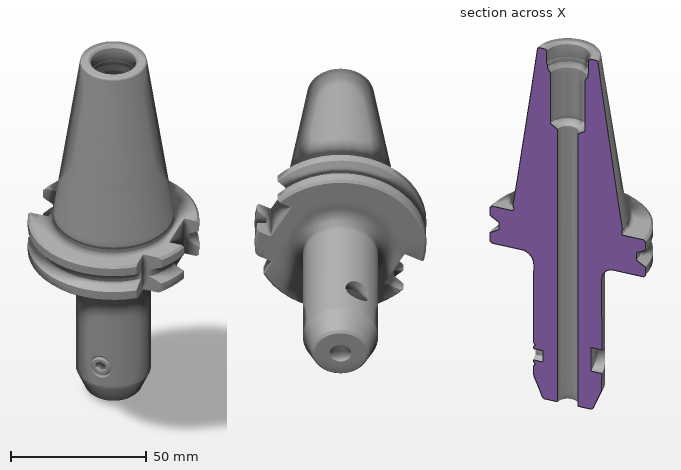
import cadquery as cq
import math

TOTAL_HEIGHT = 148.4
TAPER_BASE_Z = 79.1
NECK_HEIGHT = 2.2
FLANGE_THICKNESS = 15.9
FLANGE_TOP_Z = TAPER_BASE_Z - NECK_HEIGHT
FLANGE_BOTTOM_Z = FLANGE_TOP_Z - FLANGE_THICKNESS

TAPER_TOP_RADIUS = 12.3
TAPER_RATIO = 7 / 24 / 2
TAPER_EDGE_FILLET = 0.9
NECK_DEPTH = 0.5
NECK_FLANK_HEIGHT = 1.3

FLANGE_RADIUS = 31.8
FLANGE_EDGE_CHAMFER = 0.9
GROOVE_FLOOR_RADIUS = 28.0
GROOVE_FLOOR_WIDTH = 3.0
GROOVE_Z = 69.0
GROOVE_FLANK_ANGLE = 30.0

SLOT_WIDTH = 16.0
SLOT_FLOOR_LEFT = 22.7
SLOT_FLOOR_RIGHT = 25.0
NOTCH_OFFSET = 18.5

SHANK_RADIUS = 14.0
SHANK_FILLET = 4.7
NOSE_TOP_Z = 8.9
NOSE_RADIUS = 10.5
NOSE_EDGE_CHAMFER = 0.9
SHOULDER_ROUNDING = 2.2

TOOL_BORE_RADIUS = 4.0
MOUTH_RADIUS = 8.5
MOUTH_CHAMFER = 0.7
MOUTH_DEPTH = 6.2
COLLAR_RADIUS = 8.2
COLLAR_DEPTH = 7.9
THREAD_RADIUS = 7.0
THREAD_START_DEPTH = 9.8
THREAD_DEPTH = 31.2
DRILL_POINT_ANGLE = 30.0

SCREW_Z = 18.0
SCREW_RADIUS = 4.0
SCREW_CHAMFER = 0.7
SCREW_MOUTH_CHAMFER = 0.9
SOCKET_WIDTH = 4.0
SOCKET_DEPTH = 3.7

BALANCE_Z = 21.2
BALANCE_RADIUS = 4.9
BALANCE_DEPTH = 4.5


def make_body():
    """Revolved outline of taper, flange, shank and nose."""
    base_radius = TAPER_TOP_RADIUS + (TOTAL_HEIGHT - TAPER_BASE_Z) * TAPER_RATIO
    neck_radius = base_radius - NECK_DEPTH
    flank_rise = (FLANGE_RADIUS - GROOVE_FLOOR_RADIUS) * math.tan(math.radians(GROOVE_FLANK_ANGLE))
    half_floor = GROOVE_FLOOR_WIDTH / 2
    half_mouth = half_floor + flank_rise
    fillet_bow = SHANK_FILLET * (1 - math.sqrt(0.5))

    outline = (
        cq.Workplane("XZ")
        .moveTo(0, 0)
        .lineTo(NOSE_RADIUS - NOSE_EDGE_CHAMFER, 0)
        .lineTo(NOSE_RADIUS, NOSE_EDGE_CHAMFER)
        .lineTo(SHANK_RADIUS, NOSE_TOP_Z)
        .lineTo(SHANK_RADIUS, FLANGE_BOTTOM_Z - SHANK_FILLET)
        .threePointArc(
            (SHANK_RADIUS + fillet_bow, FLANGE_BOTTOM_Z - fillet_bow),
            (SHANK_RADIUS + SHANK_FILLET, FLANGE_BOTTOM_Z),
        )
        .lineTo(FLANGE_RADIUS - FLANGE_EDGE_CHAMFER, FLANGE_BOTTOM_Z)
        .lineTo(FLANGE_RADIUS, FLANGE_BOTTOM_Z + FLANGE_EDGE_CHAMFER)
        .lineTo(FLANGE_RADIUS, GROOVE_Z - half_mouth)
        .lineTo(GROOVE_FLOOR_RADIUS, GROOVE_Z - half_floor)
        .lineTo(GROOVE_FLOOR_RADIUS, GROOVE_Z + half_floor)
        .lineTo(FLANGE_RADIUS, GROOVE_Z + half_mouth)
        .lineTo(FLANGE_RADIUS, FLANGE_TOP_Z - FLANGE_EDGE_CHAMFER)
        .lineTo(FLANGE_RADIUS - FLANGE_EDGE_CHAMFER, FLANGE_TOP_Z)
        .lineTo(base_radius, FLANGE_TOP_Z)
        .lineTo(neck_radius, TAPER_BASE_Z - NECK_FLANK_HEIGHT)
        .lineTo(base_radius, TAPER_BASE_Z)
        .lineTo(TAPER_TOP_RADIUS, TOTAL_HEIGHT)
        .lineTo(0, TOTAL_HEIGHT)
        .close()
    )
    body = outline.revolve(360, (0, 0), (0, 1))
    body = body.faces(">Z").edges().fillet(TAPER_EDGE_FILLET)
    shoulder = cq.selectors.BoxSelector(
        (-SHANK_RADIUS, -SHANK_RADIUS, NOSE_TOP_Z - SHOULDER_ROUNDING),
        (SHANK_RADIUS, SHANK_RADIUS, NOSE_TOP_Z + SHOULDER_ROUNDING),
    )
    return body.edges("%CIRCLE").edges(shoulder).fillet(SHOULDER_ROUNDING)


def make_axial_bores():
    """Tool bore right through, opening into the stepped bore at the taper end."""
    thread_end_z = TOTAL_HEIGHT - THREAD_DEPTH
    mouth_end_z = TOTAL_HEIGHT - MOUTH_DEPTH
    drill_slope = math.tan(math.radians(DRILL_POINT_ANGLE))
    point_depth = (THREAD_RADIUS - TOOL_BORE_RADIUS) * drill_slope
    collar_end_z = TOTAL_HEIGHT - COLLAR_DEPTH
    return (
        cq.Workplane("XZ")
        .moveTo(0, 0)
        .lineTo(TOOL_BORE_RADIUS, 0)
        .lineTo(TOOL_BORE_RADIUS, thread_end_z - point_depth)
        .lineTo(THREAD_RADIUS, thread_end_z)
        .lineTo(THREAD_RADIUS, TOTAL_HEIGHT - THREAD_START_DEPTH)
        .lineTo(COLLAR_RADIUS, collar_end_z)
        .lineTo(COLLAR_RADIUS, mouth_end_z)
        .lineTo(MOUTH_RADIUS, mouth_end_z)
        .lineTo(MOUTH_RADIUS, TOTAL_HEIGHT - MOUTH_CHAMFER)
        .lineTo(MOUTH_RADIUS + MOUTH_CHAMFER, TOTAL_HEIGHT)
        .lineTo(0, TOTAL_HEIGHT)
        .close()
        .revolve(360, (0, 0), (0, 1))
    )


def flange_cutter(x_min, x_max, y_min, y_max):
    """Block as tall as the flange between the given limits."""
    return (
        cq.Workplane("XY", origin=(0, 0, FLANGE_BOTTOM_Z))
        .moveTo(x_min, y_min)
        .lineTo(x_max, y_min)
        .lineTo(x_max, y_max)
        .lineTo(x_min, y_max)
        .close()
        .extrude(FLANGE_THICKNESS)
    )


def make_flange_cuts():
    """Two drive slots on the X axis and the corner notch at +X, -Y."""
    half_slot = SLOT_WIDTH / 2
    left_slot = flange_cutter(-FLANGE_RADIUS, -SLOT_FLOOR_LEFT, -half_slot, half_slot)
    right_slot = flange_cutter(SLOT_FLOOR_RIGHT, FLANGE_RADIUS, -half_slot, half_slot)
    notch = flange_cutter(NOTCH_OFFSET, FLANGE_RADIUS, -FLANGE_RADIUS, -NOTCH_OFFSET)
    return left_slot.union(right_slot).union(notch)


def add_screw(blank):
    """Chamfered hole mouth, filled by a chamfered screw tip with a hexagon socket."""
    mouth_radius = SCREW_RADIUS + SCREW_MOUTH_CHAMFER
    face_radius = SCREW_RADIUS - SCREW_CHAMFER
    inward = cq.Vector(0, 1, 0)
    face_center = cq.Vector(0, -SHANK_RADIUS, SCREW_Z)

    mouth = cq.Workplane(cq.Solid.makeCone(mouth_radius, SCREW_RADIUS, SCREW_CHAMFER, face_center, inward))
    screw_tip = cq.Workplane(cq.Solid.makeCone(face_radius, SCREW_RADIUS, SCREW_CHAMFER, face_center, inward))
    socket = (
        cq.Workplane("XZ", origin=face_center.toTuple())
        .polygon(6, SOCKET_WIDTH, circumscribed=True)
        .extrude(-SOCKET_DEPTH)
    )
    return blank.cut(mouth).union(screw_tip).cut(socket)


def make_balance_hole():
    """Blind round hole opposite the clamping screw."""
    return (
        cq.Workplane("XZ", origin=(0, SHANK_RADIUS, BALANCE_Z))
        .circle(BALANCE_RADIUS)
        .extrude(BALANCE_DEPTH)
    )


holder_without_screw = (
    make_body()
    .cut(make_axial_bores())
    .cut(make_flange_cuts())
    .cut(make_balance_hole())
)
result = add_screw(holder_without_screw)